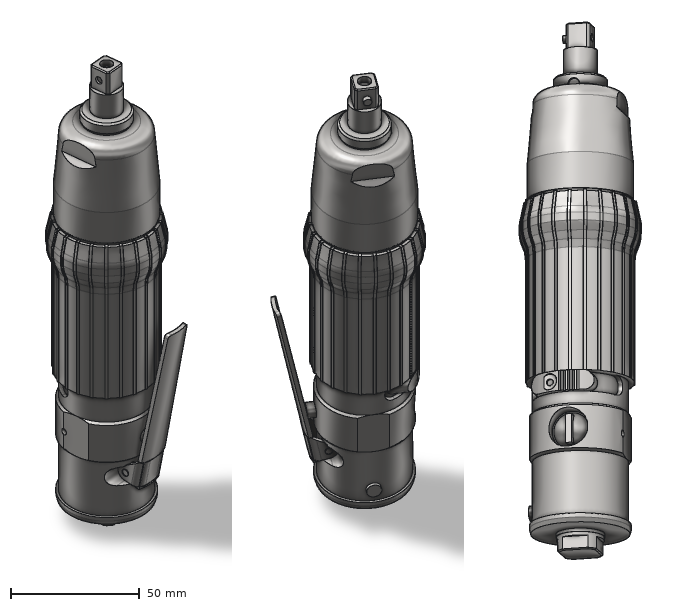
import cadquery as cq
import math

total_height = 212.0

inlet_flats = 15.6
inlet_radius = 9.3
inlet_chamfer = 0.5
inlet_top = 5.3
inlet_collar_bottom = 6.7
inlet_collar_radius = 9.5
flange_bottom = 8.0
flange_bevel_top = 9.8
flange_top = 11.5
flange_radius = 19.8
flange_bevel = 0.5

housing_radius = 18.75
band_radius = 19.8
band_bottom = 36.7
band_top = 55.8
band_bevel = 0.9
sleeve_bottom = 68.6

rib_count = 23
rib_width = 1.2
rib_height = 0.35
sleeve_radius = 21.0
bulge_foot_bottom = 117.8
bulge_foot_top = 121.0
bulge_bottom_radius = 21.35
bulge_lower_bend_radius = 22.65
bulge_lower_bend = 124.2
bulge_radius = 23.42
bulge_crown_bottom = 128.0
bulge_crown_top = 131.2
bulge_upper_bend_radius = 23.05
bulge_upper_bend = 133.8
bulge_top = 140.3
bulge_top_radius = 21.6
bulge_arc_rise = 0.1
rib_root_radius = 18.0

nose_groove_radius = 20.2
nose_bottom = 141.6
nose_radius = 20.7
taper_bottom = 156.1
shoulder_radius = 18.7
shoulder_fillet = 5.5
nose_top = 185.0
wrench_flat = 16.9
wrench_flat_bottom = 176.1

neck_radius = 9.8
collar_bottom = 186.2
collar_top = 190.7
collar_radius = 10.45
collar_chamfer = 0.8
notch_radius = 2.2
notch_depth = 1.2
shaft_radius = 6.6
shaft_top = 201.8
drive_width = 9.5
drive_corner_radius = 6.0
drive_top_chamfer = 0.5
drive_hole_radius = 2.7
drive_hole_depth = 3.0
detent_height = 206.7
detent_radius = 1.6
detent_projection = 2.0
detent_hole_depth = 1.0

switch_height = 46.2
switch_radius = 7.8
switch_floor = 13.0
dome_rise = 3.0
dome_clearance = 0.6
switch_bar_width = 2.4
switch_bar_length = 11.5
switch_bar_reach = 17.6

slot_bottom = 60.6
slot_floor_radius = 17.0
slot_end_x = -4.5
slider_radius = 21.3
slider_front_end = -10.5
slider_rear_end = 16.0
slider_screw_offset = 7.2
slider_screw_radius = 3.2
slider_screw_depth = 1.0
slider_socket_radius = 1.3
slider_socket_depth = 2.0
slider_groove_pitch = 1.8
slider_groove_width = 0.8
slider_groove_depth = 0.8
slider_groove_count = 5

dowel_x = -6.05
dowel_radius = 1.3
dowel_depth = 2.0
throttle_height = 45.6
side_screw_height = 17.5
side_screw_radius = 3.0
side_screw_reach = 20.1
screw_embed = 1.0
button_radius = 3.2
button_reach = 23.3

pivot_x = 15.5
pivot_z = 29.7
pivot_pin_radius = 1.5
lever_tilt = 10.5
blade_outer = 7.6
blade_thickness = 1.7
blade_arch = 1.2
lever_foot = -5.0
lever_length = 74.97
lever_tip_half_width = 5.8
lever_half_width = 7.2
lever_corner = 1.5
bracket_wall = 1.7
bracket_bend = 4.0
foot_half_width = 6.0
cheek_top = 9.0
cheek_radius = 3.9
cheek_clearance = 0.4
pin_head = 0.4


def cylinder_x(radius, x_start, x_end, y, z):
    """Cylinder along X between two X positions."""
    disc = cq.Workplane("YZ", origin=(x_start, y, z)).circle(radius)
    return disc.extrude(x_end - x_start)


def cylinder_y(radius, y_start, y_end, x, z):
    """Cylinder along Y between two Y positions."""
    disc = cq.Workplane("XZ", origin=(x, y_start, z)).circle(radius)
    return disc.extrude(y_start - y_end)


def ring_z(outer_radius, inner_radius, bottom, top):
    """Plain ring about the tool axis."""
    ring = cq.Workplane("XY", origin=(0, 0, bottom)).circle(outer_radius).circle(inner_radius)
    return ring.extrude(top - bottom)


def place_lever(shape):
    """Tilt a shape made about the lever pivot and move it to the pivot."""
    return shape.rotate((0, 0, 0), (0, 1, 0), lever_tilt).translate((pivot_x, 0, pivot_z))


def cheek_side(clearance, half_width):
    """Side outline of the lever's cheeks, grown by a clearance."""
    radius = cheek_radius + clearance
    return (
        cq.Workplane("XZ")
        .moveTo(0, -radius)
        .threePointArc((-radius, 0), (0, radius))
        .lineTo(blade_outer - bracket_wall, cheek_top + clearance)
        .lineTo(blade_outer, cheek_top + clearance)
        .lineTo(blade_outer, -radius)
        .close()
        .extrude(half_width, both=True)
    )


def grip_outline(outline, raise_by):
    """Outer edge of sleeve and bulge, drawn upwards and raised outwards."""
    crown_radius = bulge_radius + raise_by
    return (
        outline.lineTo(sleeve_radius + raise_by, sleeve_bottom)
        .lineTo(sleeve_radius + raise_by, bulge_foot_bottom)
        .lineTo(bulge_bottom_radius + raise_by, bulge_foot_top)
        .lineTo(bulge_lower_bend_radius + raise_by, bulge_lower_bend)
        .sagittaArc((crown_radius, bulge_crown_bottom), -bulge_arc_rise)
        .lineTo(crown_radius, bulge_crown_top)
        .sagittaArc((bulge_upper_bend_radius + raise_by, bulge_upper_bend), -bulge_arc_rise)
        .lineTo(bulge_top_radius + raise_by, bulge_top + raise_by)
    )


def turned_body():
    """Everything that is round about the tool axis, from flange to shaft."""
    band_lower = band_bottom + band_bevel
    band_upper = band_top - band_bevel
    fillet_mid = shoulder_fillet * (1 - math.sqrt(0.5))
    outline = (
        cq.Workplane("XZ")
        .moveTo(0, inlet_top)
        .lineTo(inlet_radius, inlet_top)
        .lineTo(inlet_radius, inlet_collar_bottom)
        .lineTo(inlet_collar_radius, inlet_collar_bottom)
        .lineTo(inlet_collar_radius, flange_bottom)
        .lineTo(flange_radius - flange_bevel, flange_bottom)
        .lineTo(flange_radius, flange_bevel_top)
        .lineTo(flange_radius, flange_top)
        .lineTo(housing_radius, flange_top)
        .lineTo(housing_radius, band_bottom)
        .lineTo(band_radius, band_lower)
        .lineTo(band_radius, band_upper)
        .lineTo(housing_radius, band_top)
        .lineTo(housing_radius, sleeve_bottom)
    )
    outline = (
        grip_outline(outline, 0)
        .lineTo(nose_groove_radius, bulge_top)
        .lineTo(nose_groove_radius, nose_bottom)
        .lineTo(nose_radius, nose_bottom)
        .lineTo(nose_radius, taper_bottom)
        .lineTo(shoulder_radius, nose_top - shoulder_fillet)
        .threePointArc(
            (shoulder_radius - fillet_mid, nose_top - fillet_mid),
            (shoulder_radius - shoulder_fillet, nose_top),
        )
        .lineTo(neck_radius, nose_top)
        .lineTo(neck_radius, collar_bottom)
        .lineTo(collar_radius, collar_bottom)
        .lineTo(collar_radius, collar_top - collar_chamfer)
        .lineTo(collar_radius - collar_chamfer, collar_top)
        .lineTo(shaft_radius, collar_top)
        .lineTo(shaft_radius, shaft_top)
        .lineTo(0, shaft_top)
        .close()
    )
    return outline.revolve(360, (0, 0, 0), (0, 1, 0))


def add_grip_ribs(body):
    """Narrow raised ribs along sleeve and bulge, the first one facing +Y."""
    outline = cq.Workplane("XZ").moveTo(rib_root_radius, sleeve_bottom)
    outline = grip_outline(outline, rib_height).lineTo(rib_root_radius, bulge_top + rib_height)
    rib = outline.close().extrude(rib_width / 2, both=True)
    ribs = []
    for index in range(rib_count):
        angle = 90 + index * 360 / rib_count
        ribs.append(rib.rotate((0, 0, 0), (0, 0, 1), angle).val())
    return cq.Workplane(body.val().fuse(*ribs))


def inlet_boss():
    """Square wrench boss with rounded corners below the flange."""
    square = cq.Workplane("XY").rect(inlet_flats, inlet_flats).extrude(inlet_top)
    corners = cq.Workplane("XY").circle(inlet_radius).extrude(inlet_top)
    return square.intersect(corners).faces("<Z").chamfer(inlet_chamfer)


def square_drive():
    """Square drive end with its detent pin and the hole in its end face."""
    base = cq.Workplane("XY", origin=(0, 0, shaft_top))
    length = total_height - shaft_top
    drive = base.rect(drive_width, drive_width).extrude(length)
    drive = drive.intersect(base.circle(drive_corner_radius).extrude(length))
    drive = drive.faces(">Z").chamfer(drive_top_chamfer)
    drive = drive.faces(">Z").workplane().circle(drive_hole_radius).cutBlind(-drive_hole_depth)
    face = drive_width / 2
    pin_start = face - detent_hole_depth
    pin = cylinder_y(detent_radius, pin_start, face + detent_projection, 0, detent_height)
    recess = cylinder_y(detent_radius, -face, -pin_start, 0, detent_height)
    return drive.union(pin).cut(recess)


def cut_nose_flats(body):
    """Two wrench flats on +Y and -Y, each ending in a 45 degree ledge."""
    width = 2 * nose_radius
    depth = nose_radius - wrench_flat
    for side in (-1, 1):
        cutter = (
            cq.Workplane("YZ")
            .moveTo(side * wrench_flat, wrench_flat_bottom)
            .lineTo(side * nose_radius, wrench_flat_bottom - depth)
            .lineTo(side * nose_radius, nose_top)
            .lineTo(side * wrench_flat, nose_top)
            .close()
            .extrude(width / 2, both=True)
        )
        body = body.cut(cutter)
    return body


def cut_collar_notch(body):
    """Round notch in the lower edge of the shaft collar, on the -X side."""
    outer = -collar_radius
    return body.cut(cylinder_x(notch_radius, outer, outer + notch_depth, 0, collar_bottom))


def cut_band_flats(body):
    """Flatten the valve band on +Y and -Y down to the housing surface."""
    height = band_top - band_bottom
    middle = (band_top + band_bottom) / 2
    ring = cq.Workplane("XY").box(2 * band_radius, 2 * band_radius, height)
    core = cq.Workplane("XY").box(2 * band_radius, 2 * housing_radius, height)
    return body.cut(ring.cut(core).translate((0, 0, middle)))


def add_reversing_switch(body):
    """Round pocket in the band holding a domed knob with a grip bar."""
    floor = -switch_floor
    body = body.cut(cylinder_x(switch_radius, -band_radius, floor, 0, switch_height))
    rim = switch_radius - dome_clearance
    sphere_radius = (rim ** 2 + dome_rise ** 2) / (2 * dome_rise)
    mid_rise = math.sqrt(sphere_radius ** 2 - (rim / 2) ** 2) - (sphere_radius - dome_rise)
    dome = (
        cq.Workplane("XY")
        .moveTo(floor, 0)
        .lineTo(floor - dome_rise, 0)
        .threePointArc((floor - mid_rise, rim / 2), (floor, rim))
        .close()
        .revolve(360, (0, 0, 0), (1, 0, 0))
        .translate((0, 0, switch_height))
    )
    bar_depth = switch_bar_reach - switch_floor
    bar = cq.Workplane("XY").box(bar_depth, switch_bar_width, switch_bar_length)
    bar = bar.translate((floor - bar_depth / 2, 0, switch_height))
    return body.union(dome).union(bar)


def slot_window():
    """Bounds of the vent slot: the -X side, with round ends facing -Y and +Y."""
    height = sleeve_bottom - slot_bottom
    middle = (slot_bottom + sleeve_bottom) / 2
    end_centre = slot_end_x - height / 2
    length = sleeve_radius + end_centre
    block = cq.Workplane("XY").box(length, 2 * sleeve_radius, height)
    block = block.translate((end_centre - length / 2, 0, middle))
    return block.union(cylinder_y(height / 2, -sleeve_radius, sleeve_radius, end_centre, middle))


def slider_body():
    """Round-ended slider with finger grooves and a recessed screw."""
    height = sleeve_bottom - slot_bottom
    middle = (slot_bottom + sleeve_bottom) / 2
    window = (
        cq.Workplane("YZ", origin=(0, (slider_front_end + slider_rear_end) / 2, middle))
        .slot2D(slider_rear_end - slider_front_end, height)
        .extrude(-slider_radius)
    )
    slider = ring_z(slider_radius, slot_floor_radius, slot_bottom, sleeve_bottom)
    slider = slider.intersect(window)
    screw_face = -math.sqrt(slider_radius ** 2 - slider_screw_offset ** 2)
    for radius, depth in (
        (slider_screw_radius, slider_screw_depth),
        (slider_socket_radius, slider_socket_depth),
    ):
        hole = cylinder_x(radius, -slider_radius, screw_face + depth, slider_screw_offset, middle)
        slider = slider.cut(hole)
    groove_floor = slider_groove_depth - slider_radius
    for index in range(slider_groove_count):
        offset = (index - slider_groove_count / 2) * slider_groove_pitch
        groove = cq.Workplane("XY").box(slider_radius, slider_groove_width, height)
        slider = slider.cut(groove.translate((groove_floor - slider_radius / 2, offset, middle)))
    return slider


def add_vent_slot(body):
    """Curved slot below the sleeve with the slider standing in it."""
    recess = ring_z(sleeve_radius, slot_floor_radius, slot_bottom, sleeve_bottom)
    return body.cut(recess.intersect(slot_window())).union(slider_body())


def add_side_details(body):
    """Dowel hole, side screw head and throttle button."""
    dowel_floor = dowel_depth - housing_radius
    body = body.cut(cylinder_y(dowel_radius, -band_radius, dowel_floor, dowel_x, throttle_height))
    screw_root = housing_radius - screw_embed
    body = body.union(
        cylinder_y(side_screw_radius, screw_root, side_screw_reach, 0, side_screw_height)
    )
    return body.union(cylinder_x(button_radius, housing_radius, button_reach, 0, throttle_height))


def cut_lever_seat(body):
    """Side pockets for the lever's cheeks and the cross bore its pin fills."""
    floor = lever_half_width - bracket_wall - cheek_clearance
    pocket = cheek_side(cheek_clearance, housing_radius)
    core = cq.Workplane("XY").box(4 * blade_outer, 2 * floor, 4 * cheek_top)
    pocket = pocket.cut(core)
    bore = cylinder_y(pivot_pin_radius, -floor, floor, 0, 0)
    return body.cut(place_lever(pocket)).cut(place_lever(bore))


def build_housing():
    body = add_grip_ribs(turned_body())
    body = body.union(inlet_boss()).union(square_drive())
    body = cut_nose_flats(body)
    body = cut_collar_notch(body)
    body = cut_band_flats(body)
    body = add_reversing_switch(body)
    body = add_vent_slot(body)
    body = add_side_details(body)
    return cut_lever_seat(body)


def lever_blade():
    """Tapered blade, arched outwards across its width, with a narrower foot."""
    outline = (
        cq.Workplane("YZ")
        .moveTo(-foot_half_width, lever_foot)
        .lineTo(foot_half_width, lever_foot)
        .lineTo(foot_half_width, cheek_top)
        .lineTo(lever_half_width, cheek_top)
        .lineTo(lever_tip_half_width, lever_length)
        .lineTo(-lever_tip_half_width, lever_length)
        .lineTo(-lever_half_width, cheek_top)
        .lineTo(-foot_half_width, cheek_top)
        .close()
        .extrude(blade_outer)
        .faces(">Z").edges("|X").fillet(lever_corner)
    )
    arch_radius = (lever_half_width ** 2 + blade_arch ** 2) / (2 * blade_arch)
    arch = ring_z(arch_radius, arch_radius - blade_thickness, lever_foot, lever_length)
    return outline.intersect(arch.translate((blade_outer - arch_radius, 0, 0)))


def lever_cheeks():
    """U-shaped bracket that carries the pivot at both sides of the housing."""
    length = blade_outer + cheek_radius
    height = cheek_top + cheek_radius
    bracket = (
        cq.Workplane("XY")
        .box(length, 2 * lever_half_width, height)
        .edges("|Z and >X").fillet(bracket_bend)
        .faces("<Z or >Z or <X").shell(-bracket_wall)
        .translate((blade_outer - length / 2, 0, cheek_top - height / 2))
    )
    return bracket.intersect(cheek_side(0, lever_half_width))


def build_lever():
    pin_end = lever_half_width + pin_head
    pin = cylinder_y(pivot_pin_radius, -pin_end, pin_end, 0, 0)
    return place_lever(lever_blade().union(lever_cheeks()).union(pin))


housing = build_housing()
lever = build_lever()
result = cq.Compound.makeCompound([housing.solids().val(), lever.solids().val()])